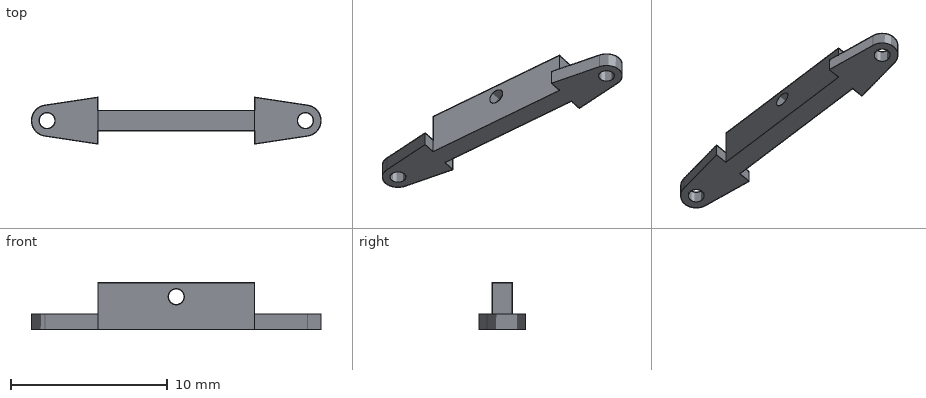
import cadquery as cq
import math

bar_length = 10.0
bar_thickness = 1.3
bar_height = 3.0

hole_diameter = 1.0
cross_hole_height = 2.1

ear_thickness = 1.0
ear_root_width = 3.0
ear_tip_radius = 1.0
ear_hole_spacing = 16.5

bar_end_x = bar_length / 2
ear_hole_x = ear_hole_spacing / 2


def make_bar():
    """Upright bar with a hole across its thickness."""
    bar = cq.Workplane("XY").box(bar_length, bar_thickness, bar_height, centered=(True, True, False))
    cross_hole = (
        cq.Workplane("XZ")
        .center(0, cross_hole_height)
        .circle(hole_diameter / 2)
        .extrude(bar_thickness, both=True)
    )
    return bar.cut(cross_hole)


def make_ear():
    """Ear at the +X end: straight flanks run tangent into the round tip."""
    root_half_width = ear_root_width / 2
    root_to_hole = ear_hole_x - bar_end_x
    corner_angle = math.atan2(root_half_width, -root_to_hole)
    corner_distance = math.hypot(root_to_hole, root_half_width)
    tangent_angle = corner_angle - math.acos(ear_tip_radius / corner_distance)
    tangent_x = ear_hole_x + ear_tip_radius * math.cos(tangent_angle)
    tangent_y = ear_tip_radius * math.sin(tangent_angle)

    plate = (
        cq.Workplane("XY")
        .moveTo(bar_end_x, -root_half_width)
        .lineTo(tangent_x, -tangent_y)
        .threePointArc((ear_hole_x + ear_tip_radius, 0), (tangent_x, tangent_y))
        .lineTo(bar_end_x, root_half_width)
        .close()
        .extrude(ear_thickness)
    )
    ear_hole = cq.Workplane("XY").center(ear_hole_x, 0).circle(hole_diameter / 2).extrude(ear_thickness)
    return plate.cut(ear_hole)


right_ear = make_ear()
left_ear = right_ear.mirror("YZ")
result = make_bar().union(right_ear).union(left_ear)